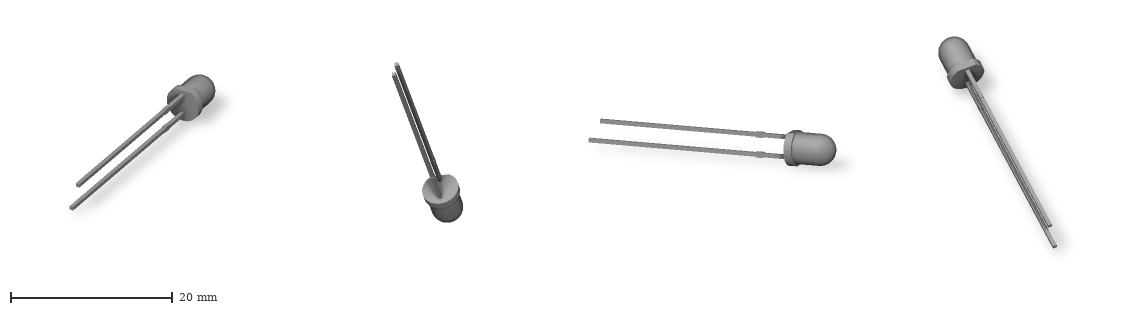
import cadquery as cq

lens_radius = 2.0
lens_straight_length = 3.0
flange_radius = 2.3
flange_thickness = 1.0
flat_height = lens_radius

lead_pitch = 2.54
lead_side = 0.5
upper_lead_length = 25.5
lower_lead_length = 27.0

tab_start = 3.6
tab_length = 1.0
tab_width = 0.7


def make_lens():
    """Straight cylinder closed by a hemispherical dome, revolved about Y."""
    dome_start = flange_thickness + lens_straight_length
    dome_tip = dome_start + lens_radius
    dome_mid = lens_radius * 0.5 ** 0.5
    profile = (
        cq.Workplane("XY")
        .moveTo(0, flange_thickness)
        .lineTo(lens_radius, flange_thickness)
        .lineTo(lens_radius, dome_start)
        .threePointArc((dome_mid, dome_start + dome_mid), (0, dome_tip))
        .close()
    )
    return profile.revolve(360, (0, 0, 0), (0, 1, 0))


def make_flange():
    """Round flange with one flat on its +Z side."""
    disc = cq.Workplane("XZ").circle(flange_radius).extrude(-flange_thickness)
    kept_height = flange_radius + flat_height
    kept_zone = cq.Workplane("XY").box(
        2 * flange_radius, 2 * flange_thickness, kept_height
    ).translate((0, 0, flat_height - kept_height / 2))
    return disc.intersect(kept_zone)


def make_lead(height, length):
    """Square lead with its stand-off tab, centred at the given Z height."""
    base = cq.Workplane("XZ").center(0, height)
    wire = base.rect(lead_side, lead_side).extrude(length)
    tab = base.workplane(offset=tab_start).rect(lead_side, tab_width).extrude(tab_length)
    return wire.union(tab)


result = (
    make_lens()
    .union(make_flange())
    .union(make_lead(lead_pitch / 2, upper_lead_length))
    .union(make_lead(-lead_pitch / 2, lower_lead_length))
)